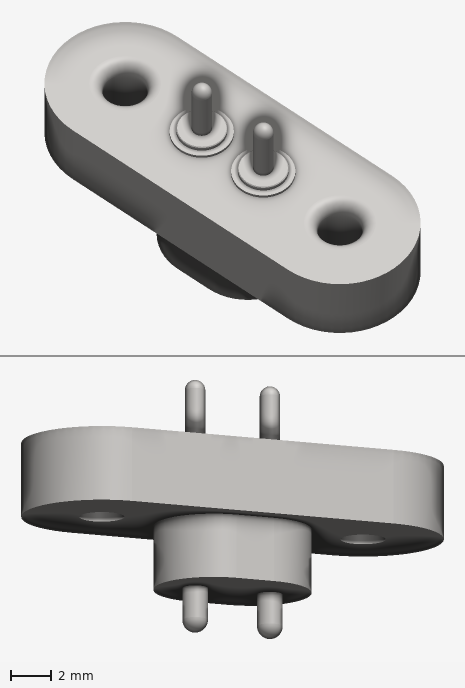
import cadquery as cq

plate_length = 22.0
plate_width = 8.0
plate_height = 3.75
plate_top = plate_height

boss_length = 8.0
boss_width = 6.0
boss_height = 3.21
boss_bottom = -boss_height

mount_spacing = plate_length - plate_width
mount_diameter = 2.25
mount_mouth_radius = 0.65

pin_spacing = 4.0
contact_diameter = 1.28
contact_projection = 2.25
tail_diameter = 1.01
tail_projection = 3.6
flange_diameter = 3.2
flange_height = 0.15
collar_diameter = 2.53
collar_top_height = 0.4
collar_chamfer = 0.05


def make_plate():
    """Stadium plate with mounting holes that flare smoothly at the top."""
    plate = cq.Workplane("XY").slot2D(plate_length, plate_width).extrude(plate_height)
    plate = (
        plate.faces(">Z").workplane()
        .pushPoints([(-mount_spacing / 2, 0), (mount_spacing / 2, 0)])
        .hole(mount_diameter)
    )
    return plate.faces(">Z").edges("%CIRCLE").edges(
        cq.selectors.RadiusNthSelector(0)
    ).fillet(mount_mouth_radius)


def make_housing(pin_positions):
    """Plate and boss in one piece, bored through for the contact pins."""
    boss = (
        cq.Workplane("XY").workplane(offset=boss_bottom)
        .slot2D(boss_length, boss_width).extrude(boss_height)
    )
    pin_bores = (
        cq.Workplane("XY").workplane(offset=boss_bottom)
        .pushPoints([(x, 0) for x in pin_positions])
        .circle(contact_diameter / 2).extrude(boss_height + plate_height)
    )
    return make_plate().union(boss).cut(pin_bores)


def make_pin(x):
    """Round pin with domed ends and a stepped flange seated on the plate."""
    contact_radius = contact_diameter / 2
    tail_radius = tail_diameter / 2
    flange_radius = flange_diameter / 2
    collar_radius = collar_diameter / 2
    contact_tip = boss_bottom - contact_projection
    tail_tip = plate_top + tail_projection
    flange_top = plate_top + flange_height
    collar_top = plate_top + collar_top_height

    profile = (
        cq.Workplane("XZ")
        .moveTo(0, contact_tip)
        .radiusArc((contact_radius, contact_tip + contact_radius), -contact_radius)
        .lineTo(contact_radius, plate_top)
        .lineTo(flange_radius, plate_top)
        .lineTo(flange_radius, flange_top)
        .lineTo(collar_radius, flange_top)
        .lineTo(collar_radius, collar_top - collar_chamfer)
        .lineTo(collar_radius - collar_chamfer, collar_top)
        .lineTo(tail_radius, collar_top)
        .lineTo(tail_radius, tail_tip - tail_radius)
        .radiusArc((0, tail_tip), -tail_radius)
        .close()
    )
    return profile.revolve(360, (0, 0), (0, 1)).translate((x, 0, 0))


pin_positions = [-pin_spacing / 2, pin_spacing / 2]
housing = make_housing(pin_positions)
pins = [make_pin(x) for x in pin_positions]

result = cq.Compound.makeCompound([housing.val(), *[pin.val() for pin in pins]])